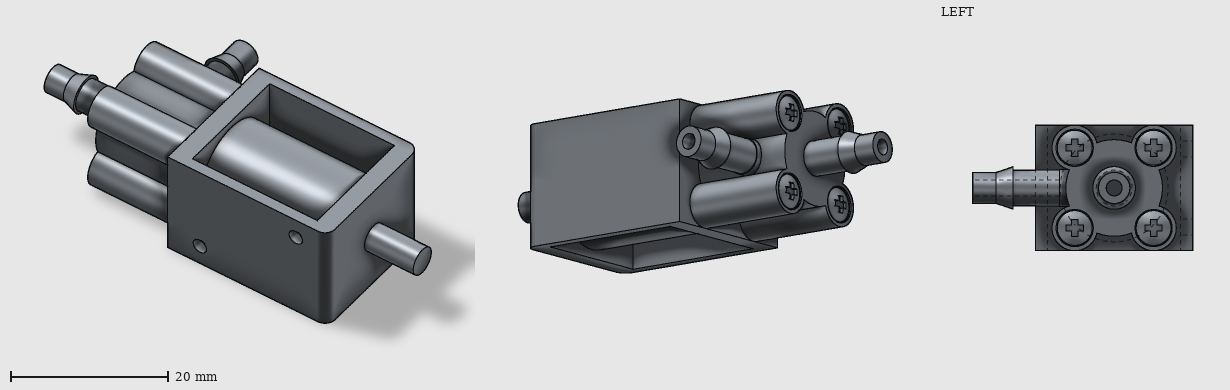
import cadquery as cq


total_length = 57.7
manifold_front = 11.0
manifold_length = 14.0
frame_front = manifold_front + manifold_length
frame_length = 25.05
frame_end = frame_front + frame_length

frame_width = 20.0
frame_height = 16.0
frame_side_wall = 1.55
frame_end_wall = 2.75
frame_corner_radius = 1.55
mount_hole_diameter = 2.1
mount_hole_inset = 5.0
mount_hole_z = 4.95

coil_diameter = 13.75
tube_diameter = 4.0

core_diameter = 12.3
post_diameter = 5.75
post_y = 5.0
post_z = (frame_height - post_diameter) / 2

recess_diameter = 4.75
screw_diameter = 4.45
dome_rise = 0.35
dome_radius = 4.9
recess_depth = 0.25
cross_length = 2.2
cross_width = 0.8
cross_depth = 0.6

barb_length = manifold_front
barb_tip_diameter = 4.0
barb_ridge_diameter = 5.4
barb_stem_diameter = 4.55
barb_tip_length = 3.0
barb_ridge_end = 5.15
bore_diameter = 2.0
side_barb_x = 17.2
side_barb_tip_y = 18.0
side_collar_diameter = 4.75
side_collar_end_y = side_barb_tip_y - barb_length


def rod(diameter, start_x, end_x, y=0.0, z=0.0):
    """Solid cylinder parallel to X."""
    plane = cq.Workplane("YZ", origin=(start_x, y, z))
    return plane.circle(diameter / 2).extrude(end_x - start_x)


def make_frame():
    """Rectangular yoke, open along Z, with two mounting holes in its -Y wall."""
    frame_centre_x = (frame_front + frame_end) / 2
    frame = (
        cq.Workplane("XY")
        .box(frame_length, frame_width, frame_height)
        .edges("|Z and >X")
        .fillet(frame_corner_radius)
    )
    window = cq.Workplane("XY").box(
        frame_length - 2 * frame_end_wall,
        frame_width - 2 * frame_side_wall,
        frame_height,
    )
    hole_x = frame_length / 2 - mount_hole_inset
    holes = (
        cq.Workplane("XZ", origin=(0, -frame_width / 2, 0))
        .pushPoints([(-hole_x, -mount_hole_z), (hole_x, mount_hole_z)])
        .circle(mount_hole_diameter / 2)
        .extrude(-frame_side_wall)
    )
    return frame.cut(window).cut(holes).translate((frame_centre_x, 0, 0))


def make_barb():
    """Bored hose barb along +X with its tip at the origin."""
    bore = bore_diameter / 2
    tip = barb_tip_diameter / 2
    ridge = barb_ridge_diameter / 2
    stem = barb_stem_diameter / 2
    profile = [
        (0, bore),
        (0, tip),
        (barb_tip_length, tip),
        (barb_ridge_end, ridge),
        (barb_ridge_end, stem),
        (barb_length, stem),
        (barb_length, bore),
    ]
    return cq.Workplane("XY").polyline(profile).close().revolve(360, (0, 0, 0), (1, 0, 0))


def make_screw(y, z):
    """Domed screw head with a cross slot, standing on the floor of its recess."""
    apex_x = manifold_front - dome_rise
    head = rod(screw_diameter, apex_x, manifold_front + recess_depth, y, z)
    dome_ball = cq.Workplane("XY").sphere(dome_radius).translate((apex_x + dome_radius, y, z))
    slot_y = cq.Workplane("XY").box(2 * cross_depth, cross_length, cross_width)
    slot_z = cq.Workplane("XY").box(2 * cross_depth, cross_width, cross_length)
    slots = slot_y.union(slot_z).translate((apex_x, y, z))
    return head.intersect(dome_ball).cut(slots)


def make_manifold():
    """Core and four posts, each post recessed for a screw."""
    manifold = rod(core_diameter, manifold_front, frame_front)
    corners = [(sy * post_y, sz * post_z) for sy in (-1, 1) for sz in (-1, 1)]
    for y, z in corners:
        manifold = manifold.union(rod(post_diameter, manifold_front, frame_front, y, z))
    for y, z in corners:
        recess = rod(recess_diameter, manifold_front, manifold_front + recess_depth, y, z)
        manifold = manifold.cut(recess).union(make_screw(y, z))
    return manifold


coil = rod(coil_diameter, frame_front + frame_end_wall, frame_end - frame_end_wall)
rear_tube = rod(tube_diameter, frame_end, total_length)
side_barb = make_barb().rotate((0, 0, 0), (0, 0, 1), -90)
side_barb = side_barb.translate((side_barb_x, side_barb_tip_y, 0))
side_collar = (
    cq.Workplane("XZ", origin=(side_barb_x, 0, 0))
    .circle(side_collar_diameter / 2)
    .extrude(-side_collar_end_y)
)

result = (
    make_frame()
    .union(coil)
    .union(rear_tube)
    .union(make_manifold())
    .union(make_barb())
    .union(side_barb)
    .union(side_collar)
)